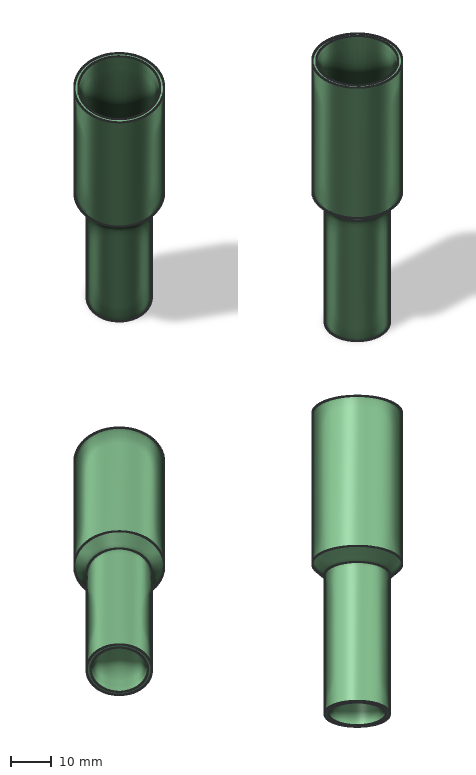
import cadquery as cq

total_height = 80
socket_height = 40
socket_outer_diameter = 22.0
spigot_outer_diameter = 16
socket_bore_diameter = 20

socket_radius = socket_outer_diameter / 2
spigot_radius = spigot_outer_diameter / 2
wall = (socket_outer_diameter - socket_bore_diameter) / 2

shoulder_height = socket_radius - spigot_radius
shoulder_top = total_height - socket_height
shoulder_bottom = shoulder_top - shoulder_height


def stepped_solid(inset):
    """Revolve the stepped outline with its radii reduced by inset."""
    lower_radius = spigot_radius - inset
    upper_radius = socket_radius - inset
    outline = [
        (0, 0),
        (lower_radius, 0),
        (lower_radius, shoulder_bottom),
        (upper_radius, shoulder_top),
        (upper_radius, total_height),
        (0, total_height),
    ]
    return cq.Workplane("XZ").polyline(outline).close().revolve(360, (0, 0), (0, 1))


result = stepped_solid(0).cut(stepped_solid(wall))